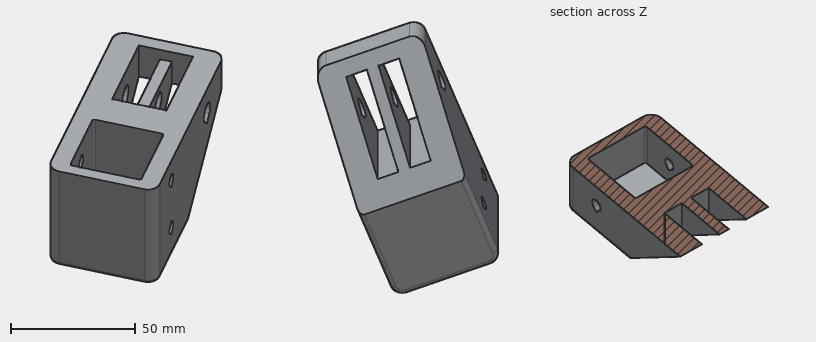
import cadquery as cq
import math

width = 46.0
length = 90.0
height = 50.0
corner_radius = 5.0
bottom_fillet = 2.2

back_height = 37.8
slope_run = 50.3

pocket_size = 30.0
pocket_corner_radius = 1.0
wall = 5.0
pocket_center_y = wall + pocket_size / 2

window_width = 22.9
window_length = 35.0
back_wall = 5.8
window_center_y = length - back_wall - window_length / 2
rib_width = 5.0
rib_recess = 5.0

large_hole_radius = 4.1
large_hole_depth = 12.15
small_hole_radius = 2.6
small_hole_depth = 10.1
small_hole_spacing = 25.0


def make_body():
    """Rounded block with a filleted underside, cut away below the slope."""
    block = (
        cq.Workplane("XY")
        .center(0, length / 2)
        .rect(width, length)
        .extrude(height)
        .edges("|Z")
        .fillet(corner_radius)
        .faces("<Z")
        .edges()
        .fillet(bottom_fillet)
    )
    return block.cut(make_slope_wedge())


def make_slope_wedge():
    """Triangular prism below the sloped underside."""
    return (
        cq.Workplane("YZ")
        .moveTo(length - slope_run, 0)
        .lineTo(length, 0)
        .lineTo(length, back_height)
        .close()
        .extrude(width / 2, both=True)
    )


def make_pocket():
    """Square pocket open at the top, leaving a floor as thick as the front wall."""
    return (
        cq.Workplane("XY", origin=(0, pocket_center_y, wall))
        .rect(pocket_size, pocket_size)
        .extrude(height - wall)
        .edges("|Z")
        .fillet(pocket_corner_radius)
    )


def make_window():
    """Through window less the rib that runs along its middle."""
    opening = (
        cq.Workplane("XY")
        .center(0, window_center_y)
        .rect(window_width, window_length)
        .extrude(height)
    )
    rib = (
        cq.Workplane("XY")
        .center(0, window_center_y)
        .rect(rib_width, window_length)
        .extrude(height - rib_recess)
    )
    return opening.cut(rib)


def make_teardrop(center_y, depth, radius):
    """Teardrop hole across the full width, with its right-angled point downward."""
    tangent = radius * math.sqrt(0.5)
    tip = radius * math.sqrt(2)
    return (
        cq.Workplane("YZ", origin=(0, center_y, height - depth))
        .moveTo(0, -tip)
        .lineTo(tangent, -tangent)
        .threePointArc((0, radius), (-tangent, -tangent))
        .close()
        .extrude(width / 2, both=True)
    )


result = make_body().cut(make_pocket()).cut(make_window())
result = result.cut(make_teardrop(window_center_y, large_hole_depth, large_hole_radius))
for depth in (small_hole_depth, small_hole_depth + small_hole_spacing):
    result = result.cut(make_teardrop(pocket_center_y, depth, small_hole_radius))